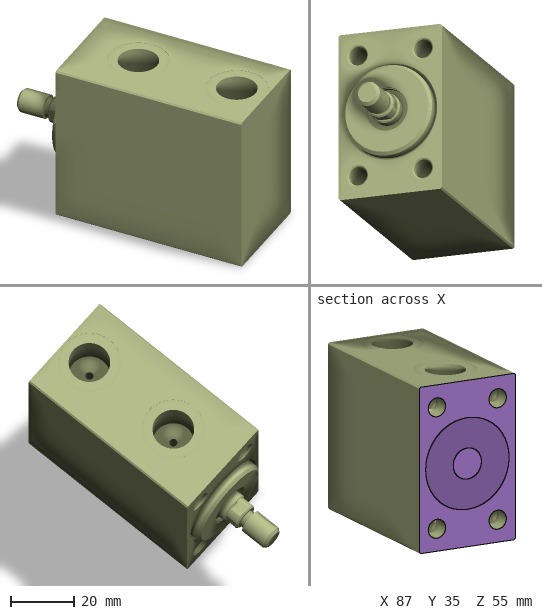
import cadquery as cq
import math


TOTAL_LENGTH = 87.0
HOUSING_FRONT = 21.0
HOUSING_LENGTH = TOTAL_LENGTH - HOUSING_FRONT
HOUSING_WIDTH = 35.0
HOUSING_HEIGHT = 55.0
EDGE_CHAMFER = 0.5

MOUNT_SPACING_Y = 22.0
MOUNT_SPACING_Z = 40.0
MOUNT_DIAMETER = 6.1
MOUNT_CHAMFER = 0.4
MOUNT_DEPTH = 12.2
DRILL_TIP_ANGLE = 118.0

FIRST_PORT_X = HOUSING_FRONT + 20.6
PORT_PITCH = 35.0
PORT_COUNT = 2
PORT_DIAMETER = 13.2
PORT_DEPTH = 12.0
SPOTFACE_DIAMETER = 20.0
SPOTFACE_DEPTH = 0.1
PASSAGE_DIAMETER = 2.5

GLAND_DIAMETER = 30.0
GLAND_PROTRUSION = 3.0
GLAND_CHAMFER = 1.0
GLAND_SEAT_DEPTH = 15.0
GLAND_FRONT = HOUSING_FRONT - GLAND_PROTRUSION
GLAND_BACK = HOUSING_FRONT + GLAND_SEAT_DEPTH
BORE_CHAMFER = 1.0

MOUTH_DIAMETER = 14.4
MOUTH_DEPTH = 0.35
WIPER_DIAMETER = 13.75
WIPER_RECESS = 1.5
WIPER_THICKNESS = 3.0
WIPER_FRONT = GLAND_FRONT + WIPER_RECESS
WIPER_BACK = WIPER_FRONT + WIPER_THICKNESS

ROD_DIAMETER = 10.0
ROD_END = TOTAL_LENGTH - 6.0
THREAD_DIAMETER = 8.0
THREAD_END = 9.6
TIP_CHAMFER = 1.0
NECK_DIAMETER = 6.0
NECK_FILLET = 0.4
NECK_END = 11.4
WRENCH_DIAMETER = 9.0
WRENCH_CHAMFER = 0.5
WRENCH_START = NECK_END + WRENCH_CHAMFER
WRENCH_END = 16.0
SHOULDER_CHAMFER = 0.4
ACROSS_FLATS = 8.0
FLAT_COUNT = 4
FLATS_SETBACK = 0.2
FLATS_START = WRENCH_START + FLATS_SETBACK


def cylinder_x(diameter, start, end):
    """Solid cylinder on the X axis between two X positions."""
    return cq.Workplane("YZ").workplane(offset=start).circle(diameter / 2).extrude(end - start)


def revolve_x(points):
    """Solid of revolution about the X axis from an outline of (x, radius) points."""
    return cq.Workplane("XY").polyline(points).close().revolve(360, (0, 0, 0), (1, 0, 0))


def countersink_x(diameter, depth, face_x):
    """45-degree cone that widens a hole of the given diameter where it meets the face at face_x."""
    radius = diameter / 2
    return revolve_x([(face_x, 0), (face_x, radius + depth), (face_x + depth, radius), (face_x + depth, 0)])


def mounting_hole():
    """Drilled hole with a chamfered mouth and a conical bottom, on the X axis."""
    radius = MOUNT_DIAMETER / 2
    bottom = HOUSING_FRONT + MOUNT_DEPTH
    tip = bottom + radius / math.tan(math.radians(DRILL_TIP_ANGLE / 2))
    drill = revolve_x([(HOUSING_FRONT, 0), (HOUSING_FRONT, radius), (bottom, radius), (tip, 0)])
    return drill.union(countersink_x(MOUNT_DIAMETER, MOUNT_CHAMFER, HOUSING_FRONT))


def port(x):
    """Spotfaced port with a small passage that leads down to the rod bore."""
    top = cq.Workplane("XY", origin=(x, 0, HOUSING_HEIGHT / 2))
    spotface = top.circle(SPOTFACE_DIAMETER / 2).extrude(-SPOTFACE_DEPTH)
    threaded_bore = top.circle(PORT_DIAMETER / 2).extrude(-PORT_DEPTH)
    passage = top.circle(PASSAGE_DIAMETER / 2).extrude(-HOUSING_HEIGHT / 2)
    return spotface.union(threaded_bore).union(passage)


def make_housing():
    body = cq.Workplane("XY").box(HOUSING_LENGTH, HOUSING_WIDTH, HOUSING_HEIGHT)
    body = body.edges("|X").chamfer(EDGE_CHAMFER)
    body = body.translate((HOUSING_FRONT + HOUSING_LENGTH / 2, 0, 0))
    body = body.cut(cylinder_x(GLAND_DIAMETER, HOUSING_FRONT, GLAND_BACK))
    body = body.cut(countersink_x(GLAND_DIAMETER, BORE_CHAMFER, HOUSING_FRONT))
    body = body.cut(cylinder_x(ROD_DIAMETER, HOUSING_FRONT, ROD_END))
    hole = mounting_hole()
    for side_y in (-1, 1):
        for side_z in (-1, 1):
            body = body.cut(hole.translate((0, side_y * MOUNT_SPACING_Y / 2, side_z * MOUNT_SPACING_Z / 2)))
    for index in range(PORT_COUNT):
        body = body.cut(port(FIRST_PORT_X + index * PORT_PITCH))
    return body


def make_gland():
    body = cylinder_x(GLAND_DIAMETER, GLAND_FRONT, GLAND_BACK).faces("<X").chamfer(GLAND_CHAMFER)
    body = body.cut(cylinder_x(MOUTH_DIAMETER, GLAND_FRONT, GLAND_FRONT + MOUTH_DEPTH))
    body = body.cut(cylinder_x(WIPER_DIAMETER, GLAND_FRONT, WIPER_BACK))
    return body.cut(cylinder_x(ROD_DIAMETER, GLAND_FRONT, GLAND_BACK))


def make_wiper():
    ring = cylinder_x(WIPER_DIAMETER, WIPER_FRONT, WIPER_BACK)
    return ring.cut(cylinder_x(ROD_DIAMETER, WIPER_FRONT, WIPER_BACK))


def make_rod():
    thread = cylinder_x(THREAD_DIAMETER, 0, THREAD_END).faces("<X").chamfer(TIP_CHAMFER)
    neck = cylinder_x(NECK_DIAMETER, THREAD_END, NECK_END)
    front = thread.union(neck)
    neck_corner = front.faces(">X[-2]").edges(cq.selectors.RadiusNthSelector(0))
    front = neck_corner.fillet(NECK_FILLET)
    wrench = cylinder_x(WRENCH_DIAMETER, NECK_END, WRENCH_END).faces("<X").chamfer(WRENCH_CHAMFER)
    shaft = cylinder_x(ROD_DIAMETER, WRENCH_END, ROD_END).faces("<X").chamfer(SHOULDER_CHAMFER)
    return cut_flats(front.union(wrench).union(shaft))


def cut_flats(rod):
    """Cut the square set of wrench flats, one per quarter turn."""
    length = WRENCH_END - FLATS_START
    cutter = cq.Workplane("XY").box(length, ROD_DIAMETER, ROD_DIAMETER)
    cutter = cutter.translate((FLATS_START + length / 2, 0, (ACROSS_FLATS + ROD_DIAMETER) / 2))
    for index in range(FLAT_COUNT):
        rod = rod.cut(cutter.rotate((0, 0, 0), (1, 0, 0), index * 360 / FLAT_COUNT))
    return rod


housing = make_housing()
gland = make_gland()
wiper = make_wiper()
rod = make_rod()

result = cq.Compound.makeCompound([housing.val(), gland.val(), wiper.val(), rod.val()])